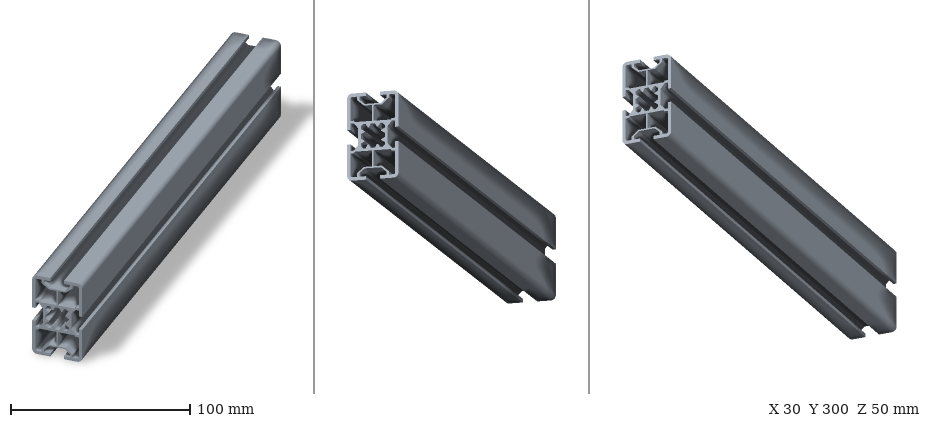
import cadquery as cq
import math

width = 30.0
height = 50.0
length = 300.0
corner_radius = 3.0

outer_wall = 2.0
slot_wall = 1.5
core_wall = 1.5
slot_floor_wall = 0.9
slot_bevel_wall = 1.0
web_wall = 1.0

slot_opening = 8.2
slot_width = 15.7
slot_shoulder_depth = 3.85
slot_depth = 6.5
slot_floor_width = 9.5

core_size = 14.0
core_corner_chamfer = 1.4
rib_offset = 2.7
rib_base = 3.0
rib_tip_width = 0.6
rib_height = 2.1

bevel_slope = (slot_depth - slot_shoulder_depth) / ((slot_width - slot_floor_width) / 2)
half_width = width / 2
half_height = height / 2
plate_level = core_size / 2 + core_wall


def extrude_outline(points):
    """Extrude a closed XZ outline over the whole profile length."""
    return cq.Workplane("XZ").polyline(points).close().extrude(length / 2, both=True)


def turned(body, angle):
    """Turn a body about the profile axis."""
    return body.rotate((0, 0, 0), (0, 1, 0), angle)


def make_blank():
    blank = cq.Workplane("XY").box(width, length, height)
    return blank.edges("|Y").fillet(corner_radius)


def make_slot(face):
    """T-slot opening upward in a face at the given distance from the axis."""
    lip = face - outer_wall
    right_side = [
        (slot_opening / 2, face),
        (slot_opening / 2, lip),
        (slot_width / 2, lip),
        (slot_width / 2, face - slot_shoulder_depth),
        (slot_floor_width / 2, face - slot_depth),
    ]
    left_side = [(-x, z) for x, z in reversed(right_side)]
    return extrude_outline(right_side + left_side)


def bevel_back_depth(offset):
    """Depth below the outer face of the back of a slot bevel, at an offset from the slot middle."""
    back_shift = slot_bevel_wall * math.hypot(1, bevel_slope)
    return slot_depth + back_shift - bevel_slope * (offset - slot_floor_width / 2)


def bevel_back_offset(depth):
    """Offset from the slot middle of the back of a slot bevel, at a depth below the outer face."""
    return slot_floor_width / 2 + (bevel_back_depth(slot_floor_width / 2) - depth) / bevel_slope


def make_chamber():
    """Hollow in the upper right, between the outer walls, the T-slots and the centre web."""
    inner_x = half_width - outer_wall
    inner_z = half_height - outer_wall
    slot_back = slot_width / 2 + slot_wall
    floor_back = slot_depth + slot_floor_wall
    outline = [
        (web_wall / 2, plate_level),
        (web_wall / 2, half_height - floor_back),
        (bevel_back_offset(floor_back), half_height - floor_back),
        (slot_back, half_height - bevel_back_depth(slot_back)),
        (slot_back, inner_z),
        (inner_x, inner_z),
        (inner_x, slot_back),
        (half_width - bevel_back_depth(slot_back), slot_back),
        (half_width - bevel_back_depth(plate_level), plate_level),
    ]
    chamber = extrude_outline(outline)
    outer_corner = cq.selectors.NearestToPointSelector((inner_x, 0, inner_z))
    return chamber.edges("|Y").edges(outer_corner).fillet(corner_radius - outer_wall)


def make_core():
    """Square cavity with chamfered corners and two ribs left standing on each wall."""
    wall = core_size / 2
    core = cq.Workplane("XY").box(core_size, length, core_size)
    core = core.edges("|Y").chamfer(core_corner_chamfer)
    for angle in (0, 90, 180, 270):
        for centre in (-rib_offset, rib_offset):
            rib = extrude_outline([
                (centre - rib_base / 2, wall),
                (centre - rib_tip_width / 2, wall - rib_height),
                (centre + rib_tip_width / 2, wall - rib_height),
                (centre + rib_base / 2, wall),
            ])
            core = core.cut(turned(rib, angle))
    return core


profile = make_blank()

for angle, face in ((0, half_height), (90, half_width), (180, half_height), (270, half_width)):
    profile = profile.cut(turned(make_slot(face), angle))

upper_right = make_chamber()
upper_left = upper_right.mirror("YZ")
for chamber in (upper_right, upper_left):
    profile = profile.cut(chamber).cut(chamber.mirror("XY"))

result = profile.cut(make_core())